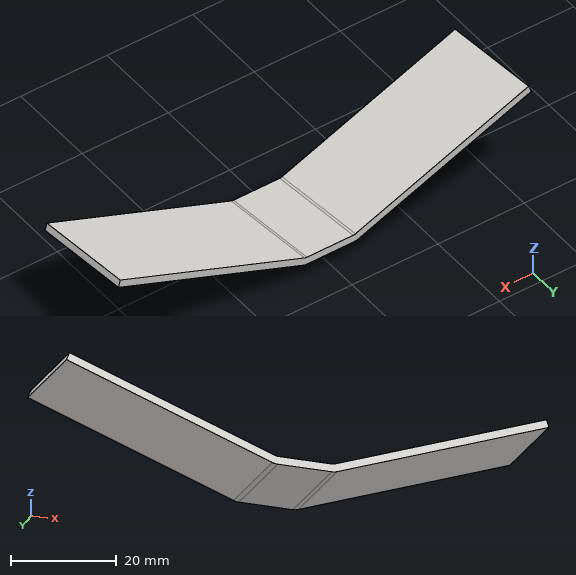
import cadquery as cq
import math

thickness = 1.6
strip_width = 24.22
center_width = 11.3
wing_length = 44.39
wing_angle = 19.52
bend_radius = 1.6
tilt_angle = 7.08

rise = math.radians(wing_angle)
bend_x = center_width / 2
miter_shift = thickness * math.tan(rise / 2)
wing_top_x = bend_x + wing_length * math.cos(rise)
wing_top_z = wing_length * math.sin(rise)
wing_bottom_x = wing_top_x + thickness * math.sin(rise)
wing_bottom_z = wing_top_z - thickness * math.cos(rise)


def folded_strip():
    """Sharp-cornered strip, symmetric in X, with square-cut wing ends."""
    upper_half = [(bend_x, 0), (wing_top_x, wing_top_z)]
    lower_half = [(wing_bottom_x, wing_bottom_z), (bend_x + miter_shift, -thickness)]
    right_half = upper_half + lower_half
    left_half = [(-x, z) for x, z in reversed(right_half)]
    profile = cq.Workplane("XZ").polyline(right_half + left_half).close()
    return profile.extrude(strip_width / 2, both=True)


def bend_lines(strip, x, z):
    """Select the two edges along Y that pass through (+/-x, z)."""
    left_edge = cq.selectors.NearestToPointSelector((-x, 0, z))
    right_edge = cq.selectors.NearestToPointSelector((x, 0, z))
    return strip.edges("|Y").edges(left_edge + right_edge)


def round_bends(strip):
    """Round both bends inside and outside, about common bend axes."""
    outer_radius = bend_radius + thickness
    strip = bend_lines(strip, bend_x, 0).fillet(bend_radius)
    return bend_lines(strip, bend_x + miter_shift, -thickness).fillet(outer_radius)


result = round_bends(folded_strip()).rotate((0, 0, 0), (1, 0, 0), tilt_angle)